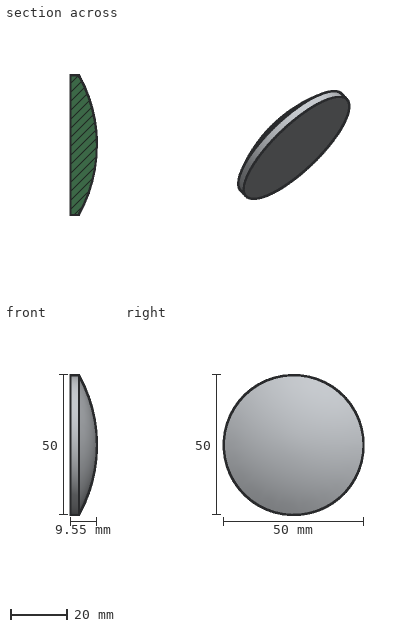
import cadquery as cq

diameter = 50.0
total_thickness = 9.55
rim_thickness = 3.0

radius = diameter / 2
dome_height = total_thickness - rim_thickness
dome_radius = (radius**2 + dome_height**2) / (2 * dome_height)

sphere_center_x = total_thickness - dome_radius
mid_radius = radius / 2
mid_x = sphere_center_x + (dome_radius**2 - mid_radius**2) ** 0.5

half_section = (
    cq.Workplane("XY")
    .lineTo(0, radius)
    .lineTo(rim_thickness, radius)
    .threePointArc((mid_x, mid_radius), (total_thickness, 0))
    .close()
)

result = half_section.revolve(360, (0, 0, 0), (1, 0, 0))